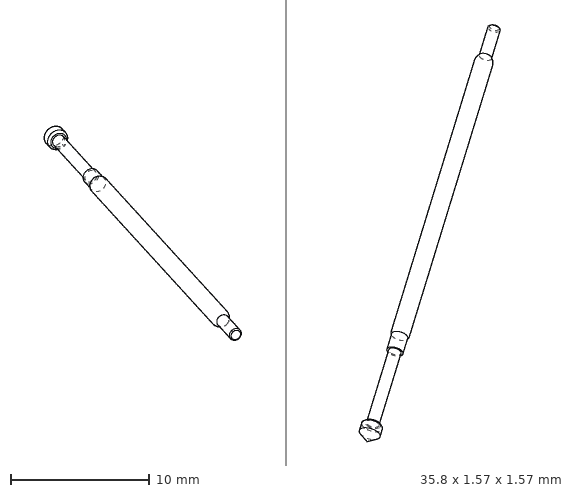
import cadquery as cq


total_length = 35.81

head_radius = 1.57 / 2
head_length = 1.38
cone_length = 0.70
head_chamfer = 0.18
stem_radius = 0.47

collar_start = 7.80
collar_radius = 0.61

barrel_start = 9.15
barrel_end = 33.20
barrel_radius = 0.69
mouth_rounding_length = 0.15
end_rounding_length = 0.44
end_face_radius = 0.52

tail_radius = 0.47
tail_taper_length = 0.08
tail_chamfer = 0.10


def turned(profile):
    """Revolve a half profile, drawn in X (axis) and Z (radius), about the X axis."""
    return profile.close().revolve(360, (0, 0, 0), (1, 0, 0))


def make_plunger():
    profile = (
        cq.Workplane("XZ")
        .lineTo(cone_length, head_radius)
        .lineTo(head_length, head_radius)
        .lineTo(head_length + head_chamfer, head_radius - head_chamfer)
        .lineTo(head_length + head_chamfer, stem_radius)
        .lineTo(collar_start, stem_radius)
        .lineTo(collar_start, collar_radius)
        .lineTo(barrel_start, collar_radius)
        .lineTo(barrel_start, 0)
    )
    return turned(profile)


def make_barrel():
    mouth_rise = barrel_radius - collar_radius
    end_drop = barrel_radius - end_face_radius
    profile = (
        cq.Workplane("XZ")
        .moveTo(barrel_start, 0)
        .lineTo(barrel_start, collar_radius)
        .threePointArc(
            (barrel_start + mouth_rounding_length / 2, barrel_radius - mouth_rise / 4),
            (barrel_start + mouth_rounding_length, barrel_radius),
        )
        .lineTo(barrel_end - end_rounding_length, barrel_radius)
        .threePointArc(
            (barrel_end - end_rounding_length / 2, barrel_radius - end_drop / 4),
            (barrel_end, end_face_radius),
        )
        .lineTo(barrel_end, 0)
    )
    return turned(profile)


def make_tail():
    profile = (
        cq.Workplane("XZ")
        .moveTo(barrel_end, 0)
        .lineTo(barrel_end, end_face_radius)
        .lineTo(barrel_end + tail_taper_length, tail_radius)
        .lineTo(total_length - tail_chamfer, tail_radius)
        .lineTo(total_length, tail_radius - tail_chamfer)
        .lineTo(total_length, 0)
    )
    return turned(profile)


result = make_plunger().union(make_barrel()).union(make_tail())